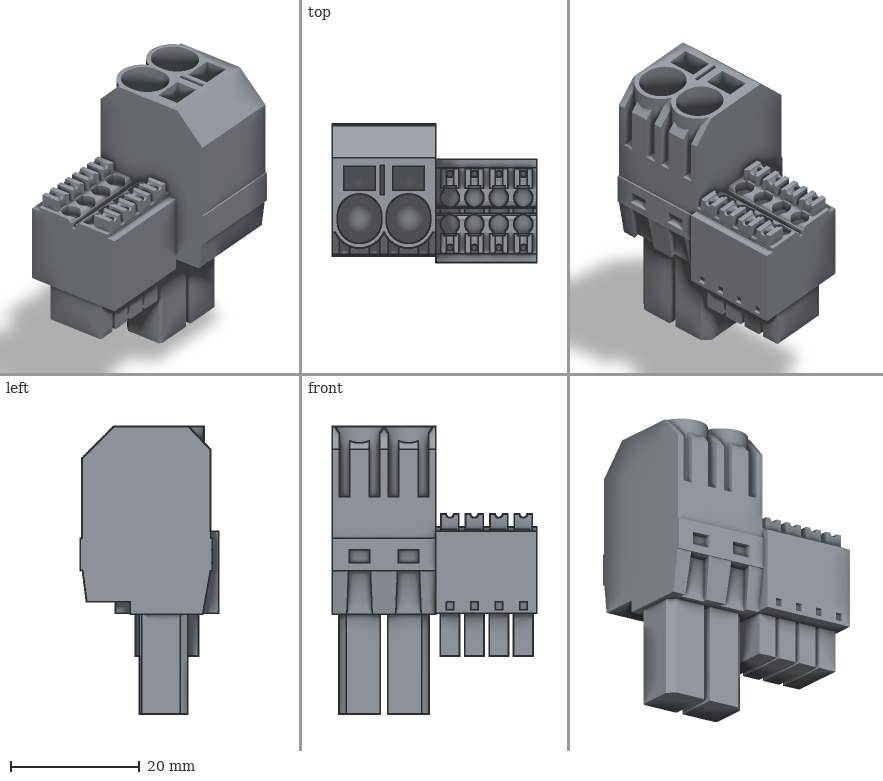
import cadquery as cq
import math

TOTAL_HEIGHT = 44.7
POWER_WIDTH = 16.1
POWER_FRONT = 1.3
POWER_BACK = 21.28
POWER_BOTTOM = 15.5
POWER_POLES = 2
POWER_PITCH = 7.6
FRONT_CHAMFER_DEPTH = 3.45
FRONT_CHAMFER_HEIGHT = 3.58
BACK_CHAMFER = 4.95
LIP_BOTTOM = 22.3
LIP_TOP = 27.35
LIP_STEP = 0.25
FRONT_TAPER = 1.2
BACK_TAPER_TOP = 21.2
BACK_TAPER_BOTTOM = 20.55
REAR_STEP_Y = 13.75
REAR_STEP_Z = 17.45

FUNNEL_Y = 6.85
FUNNEL_RADIUS = 3.45
FUNNEL_STRAIGHT = 0.8
FUNNEL_WALL = 0.7
FUNNEL_DEPTH = 13.4
FUNNEL_SLOT_FLOOR = 33.8
FUNNEL_SLOT_INNER = 1.5
FUNNEL_SLOT_OUTER = 3.15

TOOL_WIDTH = 4.85
TOOL_FRONT = 11.25
TOOL_BACK = 14.97
TOOL_DEPTH = 8.95
DIVIDER_X = 7.8
DIVIDER_WIDTH = 0.63
DIVIDER_FRONT = 10.55
DIVIDER_BACK = 15.1
DIVIDER_DEPTH = 2.25
WINDOW_WIDTH = 3.15
WINDOW_BOTTOM = 23.5
WINDOW_HEIGHT = 2.05
WINDOW_DEPTH = 1.35
RECESS_FRONT_WIDTH = 3.4
RECESS_BACK_WIDTH = 4.4
RECESS_BACK = 3.5

LEG_WIDTH = 6.45
LEG_FRONT = 4.83
LEG_BACK = 12.35
LEG_CHAMFER = 1.15
LEG_BACK_CHAMFER = 0.35

SIGNAL_WIDTH = 15.7
SIGNAL_DEPTH = 16.1
SIGNAL_BOTTOM = 15.65
PLATE_TOP = 28.45
PLATE_THICKNESS = 1.4
DECK_TOP = 29.1
SIGNAL_POLES = 4
SIGNAL_PITCH = POWER_PITCH / 2
FIRST_POLE_OFFSET = 2.2
SIGNAL_LEG_WIDTH = 3.05
SIGNAL_LEG_FRONT = 3.15
SIGNAL_LEG_BOTTOM = 9.05
SIGNAL_WINDOW = 1.15
SIGNAL_WINDOW_BOTTOM = 16.23
SIGNAL_WINDOW_HEIGHT = 1.25
SIGNAL_WINDOW_DEPTH = 0.65

CHANNEL_HALF_WIDTH = 0.4
CHANNEL_FLOOR = 27.7
CHANNEL_NOTCH_DEPTH = 0.45
SHOULDER_HALF_WIDTH = 0.65
SHOULDER_Z = 28.5
ROUNDING_HALF_WIDTH = 1.4
WIRE_RADIUS = 1.48
POCKET_FLOOR = 27.45

BUTTON_WIDTH = 2.8
BUTTON_LENGTH = 3.15
BUTTON_TOP = 31.1
FOOT_TOP = 28.7
FOOT_LENGTH = 0.1
FOOT_SIDE_CUT = 0.45
NOTCH_WIDTH = 1.9
NOTCH_LENGTH = 0.35
GROOVE_RADIUS = 0.6
PROBE_DIAMETER = 1.05
PROBE_Y = 2.32
PROBE_DEPTH = 0.9

power_centers = [
    POWER_WIDTH / 2 + (i - (POWER_POLES - 1) / 2) * POWER_PITCH for i in range(POWER_POLES)
]
signal_centers = [
    POWER_WIDTH + FIRST_POLE_OFFSET + i * SIGNAL_PITCH for i in range(SIGNAL_POLES)
]
SIGNAL_MIDDLE = SIGNAL_DEPTH / 2
BUTTON_INNER_Y = PLATE_THICKNESS + BUTTON_LENGTH
WIRE_Y = BUTTON_INNER_Y + WIRE_RADIUS


def block(x0, x1, y0, y1, z0, z1):
    """Box between two opposite corners."""
    return cq.Workplane("XY").box(x1 - x0, y1 - y0, z1 - z0, centered=False).translate((x0, y0, z0))


def centered_block(x, width, y0, y1, z0, z1):
    """Box centred on x."""
    return block(x - width / 2, x + width / 2, y0, y1, z0, z1)


def mirror_row(shape):
    """Copy of a front-row shape placed in the back row of the signal block."""
    return shape.mirror("XZ", (0, SIGNAL_MIDDLE, 0))


def oblong(x, radius, bottom):
    """Upright oblong post round a funnel axis, reaching the top of the power block."""
    length = FUNNEL_STRAIGHT + 2 * radius
    return (
        cq.Workplane("XY", origin=(x, FUNNEL_Y, bottom))
        .slot2D(length, 2 * radius, 90)
        .extrude(TOTAL_HEIGHT - bottom)
    )


def power_shell():
    """Side profile of the power block, with the lip round its waist."""
    lip_front = POWER_FRONT - LIP_STEP
    lip_back = POWER_BACK + LIP_STEP
    profile = [
        (POWER_FRONT + FRONT_TAPER, POWER_BOTTOM),
        (POWER_FRONT, LIP_BOTTOM),
        (lip_front, LIP_BOTTOM),
        (lip_front, LIP_TOP),
        (POWER_FRONT, LIP_TOP),
        (POWER_FRONT, TOTAL_HEIGHT - FRONT_CHAMFER_HEIGHT),
        (POWER_FRONT + FRONT_CHAMFER_DEPTH, TOTAL_HEIGHT),
        (POWER_BACK - BACK_CHAMFER, TOTAL_HEIGHT),
        (POWER_BACK, TOTAL_HEIGHT - BACK_CHAMFER),
        (POWER_BACK, LIP_TOP),
        (lip_back, LIP_TOP),
        (lip_back, LIP_BOTTOM),
        (BACK_TAPER_TOP, LIP_BOTTOM),
        (BACK_TAPER_BOTTOM, REAR_STEP_Z),
        (REAR_STEP_Y, REAR_STEP_Z),
        (REAR_STEP_Y, POWER_BOTTOM),
    ]
    return cq.Workplane("YZ").polyline(profile).close().extrude(POWER_WIDTH)


def funnel_slots(x):
    """Pair of upright slots that bare the funnel wall at the front."""
    width = FUNNEL_SLOT_OUTER - FUNNEL_SLOT_INNER
    offset = (FUNNEL_SLOT_OUTER + FUNNEL_SLOT_INNER) / 2
    left, right = [
        centered_block(x + side * offset, width, POWER_FRONT, FUNNEL_Y, FUNNEL_SLOT_FLOOR, TOTAL_HEIGHT)
        for side in (-1, 1)
    ]
    return left.union(right)


def front_recess(x):
    """Dovetail recess, widening inwards, in the tapered front below the lip."""
    half_front = RECESS_FRONT_WIDTH / 2
    half_back = RECESS_BACK_WIDTH / 2
    return (
        cq.Workplane("XY", origin=(x, 0, POWER_BOTTOM))
        .polyline([
            (-half_front, POWER_FRONT),
            (half_front, POWER_FRONT),
            (half_back, RECESS_BACK),
            (-half_back, RECESS_BACK),
        ])
        .close()
        .extrude(LIP_BOTTOM - POWER_BOTTOM)
    )


def power_leg(x, outer_side):
    """Plug leg with its chamfers on the outer side (-1 left, 1 right)."""
    outer = x + outer_side * LEG_WIDTH / 2
    inner = x - outer_side * LEG_WIDTH / 2
    outline = [
        (inner, LEG_FRONT),
        (outer - outer_side * LEG_CHAMFER, LEG_FRONT),
        (outer, LEG_FRONT + LEG_CHAMFER),
        (outer, LEG_BACK - LEG_BACK_CHAMFER),
        (outer - outer_side * LEG_BACK_CHAMFER, LEG_BACK),
        (inner, LEG_BACK),
    ]
    return cq.Workplane("XY").polyline(outline).close().extrude(POWER_BOTTOM)


def make_power_block():
    body = power_shell()
    for x in power_centers:
        body = body.cut(funnel_slots(x))
    for x in power_centers:
        body = body.union(oblong(x, FUNNEL_RADIUS + FUNNEL_WALL, FUNNEL_SLOT_FLOOR))
    tool_floor = TOTAL_HEIGHT - TOOL_DEPTH
    lip_front = POWER_FRONT - LIP_STEP
    window_top = WINDOW_BOTTOM + WINDOW_HEIGHT
    for x in power_centers:
        body = body.cut(oblong(x, FUNNEL_RADIUS, TOTAL_HEIGHT - FUNNEL_DEPTH))
        body = body.cut(centered_block(x, TOOL_WIDTH, TOOL_FRONT, TOOL_BACK, tool_floor, TOTAL_HEIGHT))
        body = body.cut(front_recess(x))
        body = body.cut(
            centered_block(x, WINDOW_WIDTH, lip_front, lip_front + WINDOW_DEPTH, WINDOW_BOTTOM, window_top)
        )
        outer_side = math.copysign(1, x - POWER_WIDTH / 2)
        body = body.union(power_leg(x, outer_side))
    divider_floor = TOTAL_HEIGHT - DIVIDER_DEPTH
    divider = centered_block(
        DIVIDER_X, DIVIDER_WIDTH, DIVIDER_FRONT, DIVIDER_BACK, divider_floor, TOTAL_HEIGHT
    )
    return body.cut(divider)


def central_channel():
    """Channel between the rows, with rounded shoulders on both sides."""
    run = ROUNDING_HALF_WIDTH - SHOULDER_HALF_WIDTH
    drop = DECK_TOP - SHOULDER_Z
    chord_angle = math.atan2(drop, run)
    radius = math.hypot(run, drop) / (2 * math.sin(chord_angle))
    middle_offset = ROUNDING_HALF_WIDTH - radius * math.sin(chord_angle)
    middle_z = DECK_TOP - radius * (1 - math.cos(chord_angle))
    y = SIGNAL_MIDDLE
    return (
        cq.Workplane("YZ", origin=(POWER_WIDTH, 0, 0))
        .moveTo(y - ROUNDING_HALF_WIDTH, DECK_TOP)
        .threePointArc((y - middle_offset, middle_z), (y - SHOULDER_HALF_WIDTH, SHOULDER_Z))
        .lineTo(y - CHANNEL_HALF_WIDTH, SHOULDER_Z)
        .lineTo(y - CHANNEL_HALF_WIDTH, CHANNEL_FLOOR)
        .lineTo(y + CHANNEL_HALF_WIDTH, CHANNEL_FLOOR)
        .lineTo(y + CHANNEL_HALF_WIDTH, SHOULDER_Z)
        .lineTo(y + SHOULDER_HALF_WIDTH, SHOULDER_Z)
        .threePointArc((y + middle_offset, middle_z), (y + ROUNDING_HALF_WIDTH, DECK_TOP))
        .close()
        .extrude(SIGNAL_WIDTH)
    )


def pole_pocket(x):
    """Front-row pocket: button seat, round wire hole and the opening between them."""
    seat = centered_block(x, BUTTON_WIDTH, PLATE_THICKNESS, BUTTON_INNER_Y, POCKET_FLOOR, DECK_TOP)
    wire_hole = (
        cq.Workplane("XY", origin=(x, WIRE_Y, POCKET_FLOOR))
        .circle(WIRE_RADIUS)
        .extrude(DECK_TOP - POCKET_FLOOR)
    )
    opening = centered_block(x, NOTCH_WIDTH, BUTTON_INNER_Y, WIRE_Y, POCKET_FLOOR, DECK_TOP)
    return seat.union(wire_hole).union(opening)


def make_signal_block():
    right = POWER_WIDTH + SIGNAL_WIDTH
    body = block(POWER_WIDTH, right, 0, SIGNAL_DEPTH, SIGNAL_BOTTOM, PLATE_TOP)
    deck_back = SIGNAL_DEPTH - PLATE_THICKNESS
    body = body.union(block(POWER_WIDTH, right, PLATE_THICKNESS, deck_back, PLATE_TOP, DECK_TOP))
    body = body.cut(central_channel())
    leg_back = SIGNAL_DEPTH - SIGNAL_LEG_FRONT
    window_top = SIGNAL_WINDOW_BOTTOM + SIGNAL_WINDOW_HEIGHT
    channel_front = SIGNAL_MIDDLE - CHANNEL_HALF_WIDTH
    channel_back = SIGNAL_MIDDLE + CHANNEL_HALF_WIDTH
    notch_floor = CHANNEL_FLOOR - CHANNEL_NOTCH_DEPTH
    for x in signal_centers:
        pocket = pole_pocket(x)
        body = body.cut(pocket).cut(mirror_row(pocket))
        body = body.cut(
            centered_block(x, SIGNAL_LEG_WIDTH, channel_front, channel_back, notch_floor, CHANNEL_FLOOR)
        )
        body = body.cut(
            centered_block(x, SIGNAL_WINDOW, 0, SIGNAL_WINDOW_DEPTH, SIGNAL_WINDOW_BOTTOM, window_top)
        )
        body = body.union(
            centered_block(x, SIGNAL_LEG_WIDTH, SIGNAL_LEG_FRONT, leg_back, SIGNAL_LEG_BOTTOM, SIGNAL_BOTTOM)
        )
    return body


def make_housing():
    """Power and signal blocks moulded side by side as one body."""
    return make_power_block().union(make_signal_block())


def make_button(x):
    """Front-row release button with a screwdriver groove across its top."""
    outer_y = PLATE_THICKNESS
    button = centered_block(x, BUTTON_WIDTH, outer_y, BUTTON_INNER_Y, POCKET_FLOOR, BUTTON_TOP)

    right = x + BUTTON_WIDTH / 2
    button = button.cut(
        centered_block(x, BUTTON_WIDTH, outer_y, outer_y + FOOT_LENGTH, FOOT_TOP, BUTTON_TOP)
    )
    button = button.cut(
        block(right - FOOT_SIDE_CUT, right, outer_y, outer_y + FOOT_LENGTH, POCKET_FLOOR, FOOT_TOP)
    )

    notch_y = BUTTON_INNER_Y - NOTCH_LENGTH
    button = button.cut(centered_block(x, NOTCH_WIDTH, notch_y, BUTTON_INNER_Y, DECK_TOP, BUTTON_TOP))

    groove = (
        cq.Workplane("XZ", origin=(x, BUTTON_INNER_Y, BUTTON_TOP))
        .circle(GROOVE_RADIUS)
        .extrude(BUTTON_LENGTH)
    )
    probe_floor = BUTTON_TOP - GROOVE_RADIUS - PROBE_DEPTH
    probe_hole = (
        cq.Workplane("XY", origin=(x, PROBE_Y, probe_floor))
        .circle(PROBE_DIAMETER / 2)
        .extrude(BUTTON_TOP - probe_floor)
    )
    return button.cut(groove).cut(probe_hole)


housing = make_housing()

buttons = []
for pole_x in signal_centers:
    front_button = make_button(pole_x)
    buttons.append(front_button)
    buttons.append(mirror_row(front_button))

result = cq.Compound.makeCompound([housing.val(), *[button.val() for button in buttons]])